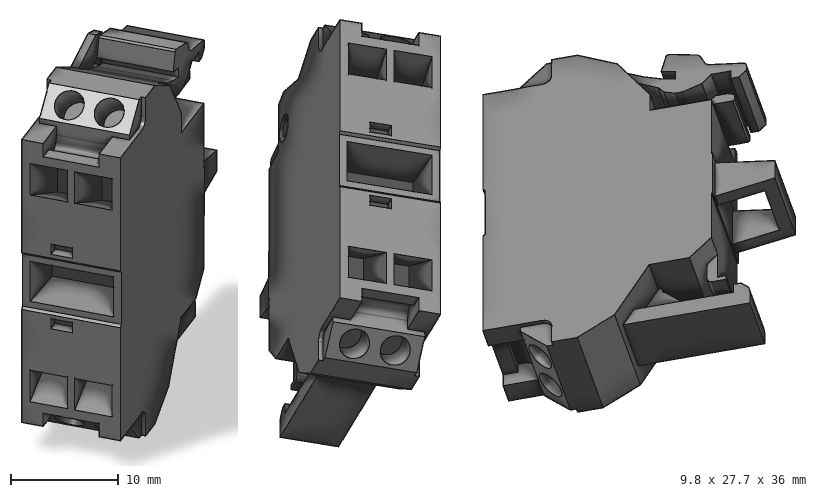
import cadquery as cq
import math


width = 9.8
half_width = width / 2
half_height = 18.0
face_half_height = 15.05
back_y = 21.85
shoulder_y = 6.6
shoulder_fillet = 0.95
crown_y = 9.05
saddle_y = 12.85
saddle_z = 16.02
ramp_foot_y = 16.0
ramp_foot_z = 11.38
deck_z = 9.35
left_plate_inner_x = -4.1

block_half_width = 4.45
block_crown_y = 6.0
block_front_y = 3.5
block_chamfer_z = 15.55
screw_hole_diameter = 2.85
screw_hole_depth = 3.6
screw_hole_x = 1.98

notch_half_width = 2.77
lip_depth = 1.45
lip_z = 13.65
notch_radius = 1.48
notch_centre_z = 14.1

entry_inner_x = 0.35
entry_outer_x = 4.05
entry_low_z = 9.32
entry_high_z = 12.67
entry_depth = 7.2
entry_slope = 0.48

band_depth = 0.2
band_outer_half_height = 3.02
band_inner_half_height = 2.77
window_half_width = 4.15
window_half_height = 2.12
window_depth = 5.4
window_side_draft = 0.2
slot_width = 2.12
slot_height = 1.08
slot_depth = 1.08
slot_x = -0.95
slot_z = 3.95

plunger_half_width = 3.95
plunger_tip_y = 27.7
plunger_root_half_height = 2.12
plunger_tip_half_height = 1.1
plunger_hole_half_width = 2.75
plunger_end_wall = 1.25
pad_y = 21.95
pad_half_height = 2.55

latch_half_width = 3.78
hook_nose_radius = 0.35
pivot_y = 17.28
pivot_z = 13.25
pivot_hole_radius = 1.35
pin_radius = 0.8
pin_recess = 0.15

hook_half_width = 2.85
hook_rib_half_width = 1.45
tab_half_width = 2.88
curl_half_width = 2.52

overlap = 0.35


def side_profile(points, x_start, x_end):
    """Solid with a (y, z) outline spanning x_start to x_end."""
    return cq.Workplane("YZ", origin=(x_start, 0, 0)).polyline(points).close().extrude(x_end - x_start)


def box_between(x_range, y_range, z_range):
    """Box given by its limits along each axis."""
    sizes = [high - low for low, high in (x_range, y_range, z_range)]
    return cq.Workplane("XY").box(*sizes, centered=False).translate((x_range[0], y_range[0], z_range[0]))


def both_ends(solid):
    """The solid together with its mirror image in the mid-height plane."""
    return solid.union(solid.mirror("XY"))


def make_housing():
    lower_outline = [
        (back_y, -8.2),
        (19.75, -10.3),
        (15.9, -10.3),
        (12.6, -15.9),
        (crown_y, -half_height),
        (shoulder_y, -half_height),
        (shoulder_y, -face_half_height),
        (0, -face_half_height),
    ]
    upper_outline = [
        (0, face_half_height),
        (shoulder_y, face_half_height),
        (shoulder_y, half_height),
        (crown_y, half_height),
        (saddle_y, saddle_z),
    ]
    core_top = [(ramp_foot_y, ramp_foot_z), (ramp_foot_y, deck_z), (back_y, deck_z)]
    plate_top = [(17.35, 17.2), (18.9, 16.75), (18.9, 11.75), (back_y, 11.38)]
    core = side_profile(lower_outline + upper_outline + core_top, left_plate_inner_x, half_width)
    plate = side_profile(lower_outline + upper_outline + plate_top, -half_width, left_plate_inner_x)
    pivot_hole = (
        cq.Workplane("YZ", origin=(-half_width, 0, 0))
        .center(pivot_y, pivot_z)
        .circle(pivot_hole_radius)
        .extrude(left_plate_inner_x + half_width)
    )
    housing = core.union(plate.cut(pivot_hole))
    margin = 0.05
    corner_zone = cq.selectors.BoxSelector(
        (-half_width, shoulder_y - margin, -face_half_height - margin),
        (half_width, shoulder_y + margin, face_half_height + margin),
    )
    return housing.edges("|X").edges(corner_zone).fillet(shoulder_fillet)


def make_terminal_block():
    block = side_profile(
        [
            (shoulder_y + overlap, half_height),
            (block_crown_y, half_height),
            (block_front_y, block_chamfer_z),
            (block_front_y, face_half_height - overlap),
            (shoulder_y + overlap, face_half_height - overlap),
        ],
        -block_half_width,
        block_half_width,
    )
    return both_ends(block)


def make_screw_holes():
    run = block_crown_y - block_front_y
    rise = half_height - block_chamfer_z
    chamfer_face = cq.Plane(
        origin=(0, block_front_y + run / 2, block_chamfer_z + rise / 2),
        xDir=(1, 0, 0),
        normal=(0, -rise, run),
    )
    holes = (
        cq.Workplane(chamfer_face)
        .pushPoints([(-screw_hole_x, 0), (screw_hole_x, 0)])
        .circle(screw_hole_diameter / 2)
        .extrude(-screw_hole_depth)
    )
    return both_ends(holes)


def make_notches():
    floor_z = notch_centre_z - notch_radius
    arc_start_y = block_front_y - notch_radius
    diagonal = notch_radius / math.sqrt(2)
    notch = (
        cq.Workplane("YZ", origin=(-notch_half_width, 0, 0))
        .moveTo(0, lip_z)
        .lineTo(lip_depth, lip_z)
        .lineTo(lip_depth, floor_z)
        .lineTo(arc_start_y, floor_z)
        .threePointArc(
            (arc_start_y + diagonal, notch_centre_z - diagonal),
            (block_front_y, notch_centre_z),
        )
        .lineTo(block_front_y, face_half_height)
        .lineTo(0, face_half_height)
        .close()
        .extrude(2 * notch_half_width)
    )
    return both_ends(notch)


def make_wire_entries():
    drop = entry_slope * entry_depth
    outline = [
        (0, entry_low_z),
        (0, entry_high_z),
        (entry_depth, entry_high_z - drop),
        (entry_depth, entry_low_z - drop),
    ]
    right_entry = side_profile(outline, entry_inner_x, entry_outer_x)
    left_entry = side_profile(outline, -entry_outer_x, -entry_inner_x)
    return both_ends(right_entry.union(left_entry))


def make_front_recesses():
    band = side_profile(
        [
            (0, -band_outer_half_height),
            (band_depth, -band_inner_half_height),
            (band_depth, band_inner_half_height),
            (0, band_outer_half_height),
        ],
        -half_width,
        half_width,
    )
    window_end_half_width = window_half_width - window_side_draft
    window = (
        cq.Workplane("XY", origin=(0, 0, -window_half_height))
        .polyline([
            (-window_half_width, 0),
            (window_half_width, 0),
            (window_end_half_width, window_depth),
            (-window_end_half_width, window_depth),
        ])
        .close()
        .extrude(2 * window_half_height)
    )
    slot = box_between(
        (slot_x - slot_width / 2, slot_x + slot_width / 2),
        (0, slot_depth),
        (slot_z - slot_height / 2, slot_z + slot_height / 2),
    )
    return band.union(window).union(both_ends(slot))


def make_plunger():
    wedge = side_profile(
        [
            (back_y - overlap, -plunger_root_half_height),
            (pad_y, -plunger_root_half_height),
            (plunger_tip_y, -plunger_tip_half_height),
            (plunger_tip_y, plunger_tip_half_height),
            (pad_y, plunger_root_half_height),
            (back_y - overlap, plunger_root_half_height),
        ],
        -plunger_half_width,
        plunger_half_width,
    )
    opening = box_between(
        (-plunger_hole_half_width, plunger_hole_half_width),
        (pad_y, plunger_tip_y - plunger_end_wall),
        (-plunger_root_half_height, plunger_root_half_height),
    )
    pad = box_between(
        (-half_width, half_width), (back_y - overlap, pad_y), (-pad_half_height, pad_half_height)
    )
    return wedge.cut(opening).union(pad)


def make_latch():
    """Upper hook, its arm below a narrow gap, and the sloping bridge to the saddle."""
    outline = [
        (saddle_y, 15.05),
        (16.02, 13.4),
        (16.5, 13.15),
        (17.03, 12.5),
        (18.15, 12.05),
        (18.9, 12.1),
        (20.65, 12.7),
        (21.55, 13.68),
        (23.45, 13.68),
        (23.45, 12.75),
        (24.23, 12.75),
        (24.9, 13.43),
        (24.9, 14.35),
        (21.35, 14.98),
        (21.02, 15.15),
        (20.5, 16.27),
        (20.25, 16.45),
        (17.5, 17.17),
        (17.25, 17.03),
        (16.78, 15.15),
        (18.15, 14.85),
        (18.15, 13.9),
        (16.78, 14.22),
        (15.1, 14.85),
        (saddle_y, saddle_z),
    ]
    latch = side_profile(outline, -latch_half_width, latch_half_width)
    latch = latch.faces(">Y").edges(">Z").fillet(hook_nose_radius)
    pin_end_x = -half_width + pin_recess
    pin = (
        cq.Workplane("YZ", origin=(pin_end_x, 0, 0))
        .center(pivot_y, pivot_z)
        .circle(pin_radius)
        .extrude(-latch_half_width + overlap - pin_end_x)
    )
    return latch.union(pin)


def make_tab():
    """Spring tab below the upper hook, growing out of the foot of the ramp."""
    root_y = ramp_foot_y - overlap
    tip_y = 23.58
    low_z = 10.7
    high_z = 11.75
    return side_profile(
        [
            (root_y, low_z),
            (tip_y - 0.18, low_z),
            (tip_y, low_z + 0.18),
            (tip_y, 11.45),
            (22.95, high_z),
            (21.75, high_z),
            (21.35, ramp_foot_z),
            (root_y, ramp_foot_z),
        ],
        -tab_half_width,
        tab_half_width,
    )


def make_lower_hook():
    arm_low_z = -15.4
    arm_high_z = -13.68
    root_y = 12.25
    arm = side_profile(
        [
            (root_y, arm_low_z),
            (25.02, arm_low_z),
            (25.02, -14.0),
            (24.9, -13.4),
            (24.2, -12.67),
            (23.45, -12.67),
            (23.45, arm_high_z),
            (root_y, arm_high_z),
        ],
        -hook_half_width,
        hook_half_width,
    )
    rib = side_profile(
        [
            (root_y, arm_high_z - overlap),
            (20.9, arm_high_z - overlap),
            (20.9, arm_high_z),
            (19.5, -12.2),
            (17.95, -12.2),
            (16.3, -10.62),
            (16.3, -10.3),
            (root_y, -10.3),
        ],
        -hook_rib_half_width,
        hook_rib_half_width,
    )
    return arm.union(rib)


def make_curl():
    """Bent strip hanging from the lower back corner of the housing."""
    leg_front_y = 20.85
    leg_top_z = -7.92
    foot_low_z = -11.55
    foot_high_z = -11.1
    foot_tip_y = 22.65
    bend = 0.5
    strip = side_profile(
        [
            (leg_front_y, leg_top_z),
            (leg_front_y, foot_low_z),
            (foot_tip_y, foot_low_z),
            (foot_tip_y, foot_high_z),
            (back_y, foot_high_z),
            (back_y, leg_top_z),
        ],
        -curl_half_width,
        curl_half_width,
    )
    return strip.edges("|X and <Y and <Z").fillet(bend)


result = (
    make_housing()
    .union(make_terminal_block())
    .cut(make_screw_holes())
    .cut(make_notches())
    .cut(make_wire_entries())
    .cut(make_front_recesses())
    .union(make_plunger())
    .union(make_latch())
    .union(make_tab())
    .union(make_lower_hook())
    .union(make_curl())
)